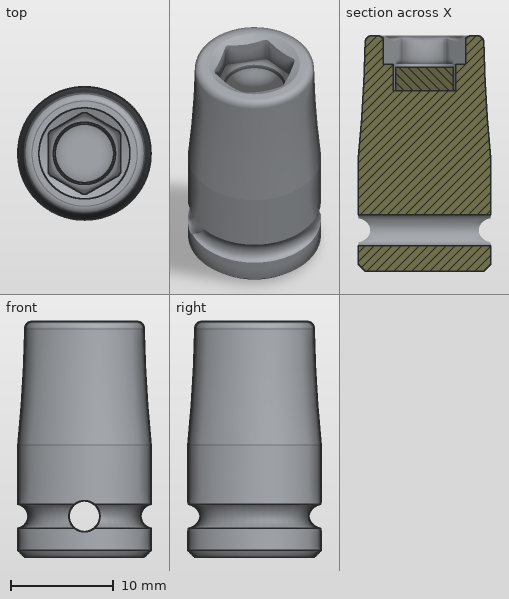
import cadquery as cq
import math

height = 23.0
body_radius = 6.498
base_chamfer = 0.7
taper_start_z = 11.0
top_radius = 5.82
top_round = 0.7
taper_bow = 0.12

groove_z = 4.0
groove_half_width = 1.17
groove_depth = 1.0
cross_hole_radius = 1.5

hex_across_flats = 7.05
hex_corner_radius = 3.98
hex_depth = 2.8
mouth_radius = 4.45
mouth_angle = 30.0

recess_radius = 3.04
magnet_radius = 2.85
magnet_drop = 0.28
magnet_height = 2.3

hex_floor_z = height - hex_depth
magnet_top_z = hex_floor_z - magnet_drop
magnet_base_z = magnet_top_z - magnet_height


def make_blank():
    """Revolved outside shape with chamfered base, groove, bowed taper and rounded top."""
    round_start_z = height - top_round
    taper_mid = ((body_radius + top_radius) / 2 - taper_bow, (taper_start_z + round_start_z) / 2)
    round_offset = top_round * math.sqrt(0.5)
    round_mid = (top_radius - top_round + round_offset, round_start_z + round_offset)
    profile = (
        cq.Workplane("XZ")
        .lineTo(body_radius - base_chamfer, 0)
        .lineTo(body_radius, base_chamfer)
        .lineTo(body_radius, groove_z - groove_half_width)
        .threePointArc((body_radius - groove_depth, groove_z), (body_radius, groove_z + groove_half_width))
        .lineTo(body_radius, taper_start_z)
        .threePointArc(taper_mid, (top_radius, round_start_z))
        .threePointArc(round_mid, (top_radius - top_round, height))
        .lineTo(0, height)
        .close()
    )
    return profile.revolve(360, (0, 0, 0), (0, 1, 0))


def make_cylinder(radius, base_z, length):
    return cq.Workplane("XY", origin=(0, 0, base_z)).circle(radius).extrude(length)


def make_hex_pocket():
    """Hexagon with flats facing +X and -X and clipped corners."""
    hexagon = (
        cq.Workplane("XY", origin=(0, 0, hex_floor_z))
        .transformed(rotate=(0, 0, 90))
        .polygon(6, hex_across_flats / math.cos(math.pi / 6))
        .extrude(hex_depth)
    )
    return hexagon.intersect(make_cylinder(hex_corner_radius, hex_floor_z, hex_depth))


def make_mouth_cone():
    """Conical lead-in that widens the hexagon at the top face."""
    cone_depth = mouth_radius * math.tan(math.radians(mouth_angle))
    return cq.Workplane(cq.Solid.makeCone(0, mouth_radius, cone_depth, pnt=(0, 0, height - cone_depth)))


def make_cross_hole():
    return (
        cq.Workplane("XZ", origin=(0, 0, groove_z))
        .circle(cross_hole_radius)
        .extrude(body_radius, both=True)
    )


def make_socket():
    return (
        make_blank()
        .cut(make_hex_pocket())
        .cut(make_mouth_cone())
        .cut(make_cylinder(recess_radius, magnet_base_z, hex_floor_z - magnet_base_z))
        .cut(make_cross_hole())
    )


def make_magnet():
    return make_cylinder(magnet_radius, magnet_base_z, magnet_height)


socket = make_socket()
magnet = make_magnet()

result = cq.Compound.makeCompound([socket.val(), magnet.val()])